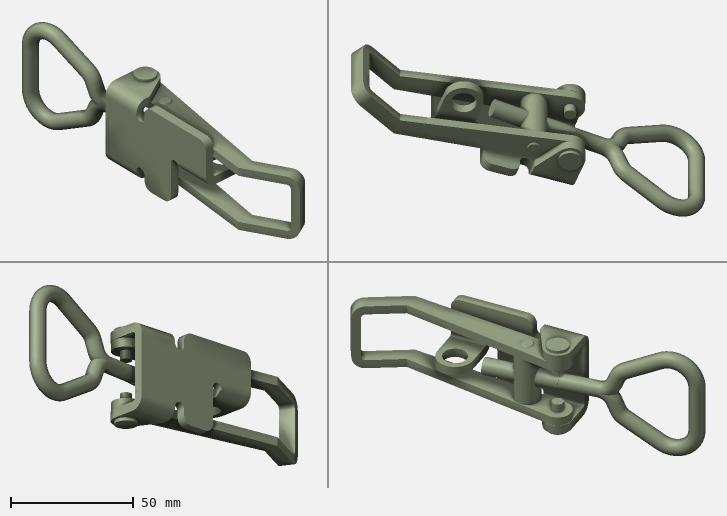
import cadquery as cq
import math


SHEET = 4.0
BEND_OUTER = 5.3
BEND_INNER = BEND_OUTER - SHEET
EAR_HALF_SPAN = 19.2
EAR_INNER = EAR_HALF_SPAN - SHEET
EAR_RADIUS = 6.2
EAR_BACK = 12.3
EAR_SHOULDER = 7.3
PIVOT_Y = 16.2

FLANGE_HALF_SPAN = 20.1
FLANGE_CORNER = 4.0
FLANGE_SHORT_END = 33.2
FLANGE_LONG_END = 54.2
RELIEF_RADIUS = 2.5
RELIEF_DEPTH_Z = 11.4
RELIEF_X = EAR_BACK + RELIEF_RADIUS
FLANGE_START = EAR_BACK + 2 * RELIEF_RADIUS

EYE_RADIUS = 8.1
EYE_HOLE_RADIUS = 5.3
EYE_TOP = 25.0
EYE_Y = EYE_TOP - EYE_RADIUS
EYE_X = FLANGE_LONG_END - EYE_RADIUS
EYE_START = FLANGE_LONG_END - 2 * EYE_RADIUS
EYE_LOW_Z = -2.3
EYE_HIGH_Z = EYE_LOW_Z + SHEET

LEVER_STRIP = 3.9
LEVER_HALF_SPAN = EAR_INNER
LEVER_INNER = LEVER_HALF_SPAN - LEVER_STRIP
LEVER_EYE_RADIUS = 6.1
LEVER_KNEE = (71.2, 2.5)
LEVER_TIP_WIDTH = 6.7
LEVER_TIP_LENGTH = 26.3
LEVER_TIP_ANGLE = 29.0
LEVER_CORNER = 5.8
LEVER_CORNER_INNER = LEVER_CORNER - LEVER_STRIP

RIVET_RADIUS = 2.5
RIVET_HEAD_RADIUS = 4.8
RIVET_HEAD_HEIGHT = 1.4
RIVET_INNER_Z = 7.3

TRUNNION_X = 14.8
TRUNNION_Y = 13.9
TRUNNION_RADIUS = 5.6
JOURNAL_RADIUS = 2.8
JOURNAL_PROTRUSION = 0.5
JOURNAL_CHAMFER = 0.5
COUNTERSINK_RADIUS = 5.5
COUNTERSINK_DEPTH = 1.2

HOOK_TILT = 6.1
WIRE_DIAMETER = 7.0
WIRE_RADIUS = WIRE_DIAMETER / 2
ROD_END_U = 18.7
LOOP_CORNER_Z = 28.5
LOOP_CORNER_RADIUS = 10.6
LOOP_HIP = (-40.0, 10.3)
LOOP_FORK_U = -35.7
LOOP_BEND_RADIUS = 7.2
SHANK_START_U = -14.3
SHANK_RADIUS = 3.7

OVERALL_LENGTH = 155.9
LEVER_TIP_X = LEVER_KNEE[0] + LEVER_TIP_LENGTH * math.cos(math.radians(LEVER_TIP_ANGLE))
LOOP_BAR_X = LEVER_TIP_X - OVERALL_LENGTH + WIRE_RADIUS
LOOP_BAR_U = (LOOP_BAR_X - TRUNNION_X) / math.cos(math.radians(HOOK_TILT))

OVERSIZE = 155.9


def unit(vector):
    length = math.hypot(*vector)
    return (vector[0] / length, vector[1] / length)


def pivot_tangent_point(point, radius, side):
    """Where a line from point touches the circle about the pivot, on its upper (1) or lower (-1) side."""
    dx = point[0]
    dy = point[1] - PIVOT_Y
    angle = math.atan2(dy, dx) + side * math.acos(radius / math.hypot(dx, dy))
    return (radius * math.cos(angle), PIVOT_Y + radius * math.sin(angle))


def z_cylinder(x, y, radius, z_low, z_high):
    return cq.Workplane("XY", origin=(x, y, z_low)).circle(radius).extrude(z_high - z_low)


def block(x_range, y_range, z_range):
    size = [high - low for low, high in (x_range, y_range, z_range)]
    return cq.Workplane("XY").box(*size, centered=False).translate((x_range[0], y_range[0], z_range[0]))


def make_channel():
    """U-shaped front of the base: the web and two ears with rounded bends."""
    shoulder = (EAR_BACK, EAR_SHOULDER)
    channel = (
        cq.Workplane("XY", origin=(0, 0, -EAR_HALF_SPAN))
        .moveTo(-EAR_RADIUS, 0)
        .lineTo(-EAR_RADIUS, PIVOT_Y)
        .threePointArc((0, PIVOT_Y + EAR_RADIUS), pivot_tangent_point(shoulder, EAR_RADIUS, 1))
        .lineTo(*shoulder)
        .lineTo(EAR_BACK, 0)
        .close()
        .extrude(2 * EAR_HALF_SPAN)
    )
    channel = channel.edges("|X and <Y").fillet(BEND_OUTER)
    inside = block((-OVERSIZE, OVERSIZE), (SHEET, OVERSIZE), (-EAR_INNER, EAR_INNER))
    return channel.cut(inside.edges("|X and <Y").fillet(BEND_INNER))


def make_flange():
    """Flat plate behind the ears, with a long upper half and a short lower half."""
    y_range = (0, SHEET)
    short = block((FLANGE_START, FLANGE_SHORT_END), y_range, (-FLANGE_HALF_SPAN, 0))
    short = short.edges("|Y and <Z").fillet(FLANGE_CORNER)
    long = block((FLANGE_START, FLANGE_LONG_END), y_range, (0, FLANGE_HALF_SPAN))
    long = long.edges("|Y and >Z").fillet(FLANGE_CORNER)
    neck_z = RELIEF_DEPTH_Z + RELIEF_RADIUS
    neck = block((0, FLANGE_START), y_range, (-neck_z, neck_z))
    flange = short.union(long).union(neck)
    for side in (1, -1):
        relief = cq.Workplane("XZ").center(RELIEF_X, side * neck_z).circle(RELIEF_RADIUS).extrude(-SHEET)
        flange = flange.cut(relief)
    eye_relief_radius = (EYE_START - FLANGE_SHORT_END) / 2
    eye_relief_x = FLANGE_SHORT_END + eye_relief_radius
    eye_relief = cq.Workplane("XZ").center(eye_relief_x, 0).circle(eye_relief_radius).extrude(-SHEET)
    return flange.cut(eye_relief)


def make_padlock_eye():
    """Ring-shaped tab bent up from the edge of the long half of the flange."""
    top_z = EYE_HIGH_Z + BEND_OUTER
    eye = (
        cq.Workplane("XY", origin=(0, 0, EYE_LOW_Z))
        .moveTo(EYE_START, 0)
        .lineTo(EYE_START, EYE_Y)
        .threePointArc((EYE_X, EYE_TOP), (FLANGE_LONG_END, EYE_Y))
        .lineTo(FLANGE_LONG_END, 0)
        .close()
        .extrude(top_z - EYE_LOW_Z)
    )
    eye = eye.edges("|X and <Y and <Z").fillet(BEND_OUTER)
    above_sheet = block((EYE_START, FLANGE_LONG_END), (SHEET, OVERSIZE), (EYE_HIGH_Z, OVERSIZE))
    eye = eye.cut(above_sheet.edges("|X and <Y and <Z").fillet(BEND_INNER))
    return eye.cut(z_cylinder(EYE_X, EYE_Y, EYE_HOLE_RADIUS, EYE_LOW_Z, top_z))


def make_base():
    bend_room = block((EYE_START, FLANGE_LONG_END), (0, SHEET), (0, EYE_HIGH_Z + BEND_OUTER))
    base = make_channel().union(make_flange().cut(bend_room)).union(make_padlock_eye())
    return base.cut(z_cylinder(0, PIVOT_Y, RIVET_RADIUS, -EAR_HALF_SPAN, EAR_HALF_SPAN))


def make_lever():
    tilt = math.radians(LEVER_TIP_ANGLE)
    along = (math.cos(tilt), math.sin(tilt))
    across = (-along[1], along[0])
    tip_low = tuple(k + LEVER_TIP_LENGTH * a for k, a in zip(LEVER_KNEE, along))
    tip_high = tuple(t + LEVER_TIP_WIDTH * a for t, a in zip(tip_low, across))
    upper_knee = (LEVER_KNEE[0], LEVER_KNEE[1] + LEVER_TIP_WIDTH / along[0])
    lever = (
        cq.Workplane("XY", origin=(0, 0, -LEVER_HALF_SPAN))
        .moveTo(*pivot_tangent_point(upper_knee, LEVER_EYE_RADIUS, 1))
        .threePointArc(
            (-LEVER_EYE_RADIUS, PIVOT_Y), pivot_tangent_point(LEVER_KNEE, LEVER_EYE_RADIUS, -1)
        )
        .lineTo(*LEVER_KNEE)
        .lineTo(*tip_low)
        .lineTo(*tip_high)
        .lineTo(*upper_knee)
        .close()
        .extrude(2 * LEVER_HALF_SPAN)
    )
    end_edges = lever.faces(cq.selectors.DirectionMinMaxSelector(cq.Vector(*along, 0))).edges("not |Z")
    lever = end_edges.fillet(LEVER_CORNER)
    window = block((-OVERSIZE, -LEVER_STRIP), (-OVERSIZE, OVERSIZE), (-LEVER_INNER, LEVER_INNER))
    window = window.edges("|Y and >X").fillet(LEVER_CORNER_INNER)
    window = window.rotate((0, 0, 0), (0, 0, 1), LEVER_TIP_ANGLE).translate((*tip_low, 0))
    lever = lever.cut(window)
    lever = lever.cut(z_cylinder(0, PIVOT_Y, RIVET_RADIUS, -LEVER_HALF_SPAN, LEVER_HALF_SPAN))
    return lever.cut(
        z_cylinder(TRUNNION_X, TRUNNION_Y, JOURNAL_RADIUS, -LEVER_HALF_SPAN, LEVER_HALF_SPAN)
    )


def make_rivet(side):
    """Headed rivet through one ear and one lever arm, at +Z (side 1) or -Z (side -1)."""
    shank = z_cylinder(0, PIVOT_Y, RIVET_RADIUS, RIVET_INNER_Z, EAR_HALF_SPAN)
    head_top = EAR_HALF_SPAN + RIVET_HEAD_HEIGHT
    rivet = shank.union(z_cylinder(0, PIVOT_Y, RIVET_HEAD_RADIUS, EAR_HALF_SPAN, head_top))
    return rivet if side > 0 else rivet.mirror("XY")


def place_on_rod(body):
    """Move a body from rod coordinates (rod along X, trunnion at the origin) into the latch."""
    return body.rotate((0, 0, 0), (0, 0, 1), HOOK_TILT).translate((TRUNNION_X, TRUNNION_Y, 0))


def rounded_path(points, radii):
    """Path in the XZ plane through points, with each inner corner rounded by its radius."""
    path = cq.Workplane("XZ").moveTo(*points[0])
    for before, corner, after, radius in zip(points, points[1:], points[2:], radii):
        to_before = unit((before[0] - corner[0], before[1] - corner[1]))
        to_after = unit((after[0] - corner[0], after[1] - corner[1]))
        half_angle = math.acos(to_before[0] * to_after[0] + to_before[1] * to_after[1]) / 2
        setback = radius / math.tan(half_angle)
        bisector = unit((to_before[0] + to_after[0], to_before[1] + to_after[1]))
        reach = radius / math.sin(half_angle) - radius
        path = path.lineTo(corner[0] + setback * to_before[0], corner[1] + setback * to_before[1])
        path = path.threePointArc(
            (corner[0] + reach * bisector[0], corner[1] + reach * bisector[1]),
            (corner[0] + setback * to_after[0], corner[1] + setback * to_after[1]),
        )
    return path.lineTo(*points[-1])


def make_hook():
    """Wire loop whose two sides merge into the rod."""
    points = [
        (LOOP_BAR_U, 0),
        (LOOP_BAR_U, LOOP_CORNER_Z),
        LOOP_HIP,
        (LOOP_FORK_U, 0),
        (ROD_END_U, 0),
    ]
    path = rounded_path(points, [LOOP_CORNER_RADIUS, LOOP_BEND_RADIUS, LOOP_BEND_RADIUS])
    half = cq.Workplane("XY", origin=(LOOP_BAR_U, 0, 0)).circle(WIRE_RADIUS).sweep(path)
    shank = cq.Workplane("YZ", origin=(SHANK_START_U, 0, 0)).circle(SHANK_RADIUS)
    shank = shank.extrude(ROD_END_U - SHANK_START_U)
    return place_on_rod(half.union(half.mirror("XY")).union(shank))


def make_trunnion():
    """Cross pin in the lever arms, with a countersunk hole for the hook rod."""
    journal_end = LEVER_HALF_SPAN + JOURNAL_PROTRUSION
    journals = z_cylinder(TRUNNION_X, TRUNNION_Y, JOURNAL_RADIUS, -journal_end, journal_end)
    journals = journals.faces("<Z or >Z").edges().chamfer(JOURNAL_CHAMFER)
    barrel = z_cylinder(TRUNNION_X, TRUNNION_Y, TRUNNION_RADIUS, -LEVER_INNER, LEVER_INNER)
    rod_hole = cq.Workplane("YZ").circle(SHANK_RADIUS).extrude(2 * TRUNNION_RADIUS, both=True)
    countersink = (
        cq.Workplane("YZ", origin=(-TRUNNION_RADIUS, 0, 0))
        .circle(COUNTERSINK_RADIUS)
        .workplane(offset=COUNTERSINK_DEPTH)
        .circle(SHANK_RADIUS)
        .loft()
    )
    return barrel.union(journals).cut(place_on_rod(rod_hole.union(countersink)))


base = make_base()
lever = make_lever()
rivets = [make_rivet(side) for side in (1, -1)]
hook = make_hook()
trunnion = make_trunnion()

result = cq.Compound.makeCompound(
    [base.val(), lever.val(), *[rivet.val() for rivet in rivets], hook.val(), trunnion.val()]
)